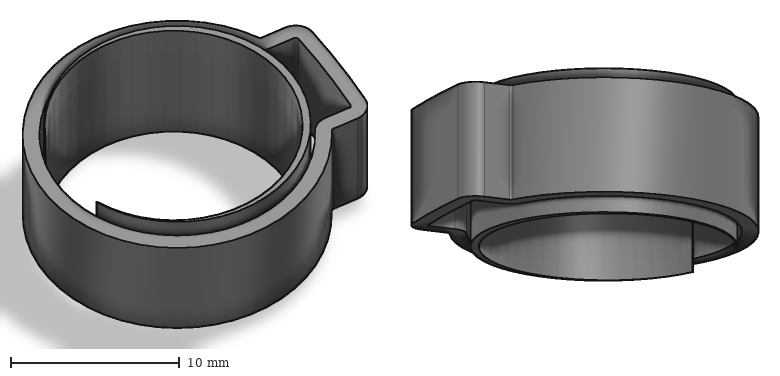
import cadquery as cq
import math

hoop_radius = 9.15
wall = 1.0
hoop_height = 7.0
hoop_bore_radius = hoop_radius - wall
inner_bend_radius = 0.2
outer_bend_radius = inner_bend_radius + wall

total_length = 20.3
ear_top = total_length - hoop_radius
ear_half_width = 4.25
crown_radius = 52.75

liner_height = 8.8
liner_radius = 7.9
liner_thickness = 0.5
liner_gap_half_width = 3.05
bore_shift = 0.25
liner_bore_radius = liner_radius - liner_thickness + bore_shift


def centred_prism(sketch, height):
    """Extrude a closed XY outline evenly to both sides of Z = 0."""
    return sketch.extrude(height / 2, both=True)


def ear_block(half_width, top, bow_radius, corner_radius):
    """Block from the hoop axis to a bowed, round-cornered end on the +Y side."""
    shoulder = top - (bow_radius - math.sqrt(bow_radius**2 - half_width**2))
    outline = (
        cq.Workplane("XY")
        .moveTo(-half_width, 0)
        .lineTo(-half_width, shoulder)
        .threePointArc((0, top), (half_width, shoulder))
        .lineTo(half_width, 0)
        .close()
    )
    block = centred_prism(outline, hoop_height)
    return block.edges("|Z").edges(">Y").fillet(corner_radius)


def eared_disc(radius, inset, corner_radius, root_radius):
    """Disc with the ear outline shrunk by inset, rounded where the ear's walls meet the disc."""
    half_width = ear_half_width - inset
    disc = centred_prism(cq.Workplane("XY").circle(radius), hoop_height)
    ear = ear_block(half_width, ear_top - inset, crown_radius - inset, corner_radius)
    body = disc.union(ear)
    root_y = math.sqrt(radius**2 - half_width**2)
    for root_x in (-half_width, half_width):
        root_edge = cq.selectors.NearestToPointSelector((root_x, root_y, 0))
        body = body.edges("|Z").edges(root_edge).fillet(root_radius)
    return body


def make_hoop():
    outside = eared_disc(hoop_radius, 0, outer_bend_radius, inner_bend_radius)
    opening = eared_disc(hoop_bore_radius, wall, inner_bend_radius, outer_bend_radius)
    return outside.cut(opening)


def make_liner():
    outer_end_y = -math.sqrt(liner_radius**2 - liner_gap_half_width**2)
    inner_end_y = -bore_shift - math.sqrt(liner_bore_radius**2 - liner_gap_half_width**2)
    outline = (
        cq.Workplane("XY")
        .moveTo(-liner_gap_half_width, outer_end_y)
        .threePointArc((0, liner_radius), (liner_gap_half_width, outer_end_y))
        .lineTo(liner_gap_half_width, inner_end_y)
        .threePointArc((0, liner_bore_radius - bore_shift), (-liner_gap_half_width, inner_end_y))
        .close()
    )
    return centred_prism(outline, liner_height)


hoop = make_hoop()
liner = make_liner()

result = cq.Compound.makeCompound([hoop.val(), liner.val()])